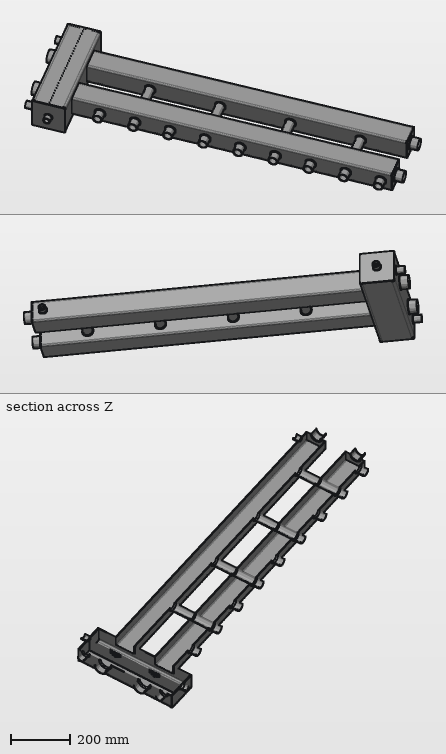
import cadquery as cq
import math

AXIS_X = cq.Vector(1, 0, 0)
AXIS_Y = cq.Vector(0, 1, 0)
overlap = 1.0

box_section = 120.0
box_length = 385.0
box_start_x = 30.0
box_edge_radius = 9.5
box_wall = 4.0
box_cap = 6.0

bar_section = 80.0
bar_end_x = 1290.0
bar_offset_y = 80.0
bar_edge_radius = 6.5
bar_wall = 4.0
bar_cap = 4.0

cap_corner_radius = 6.0
box_cap_chamfer = 2.0
bar_cap_chamfer = 1.5

divider_thickness = 2.0
perforation_diameter = 7.5
perforation_pitch = 10.0
perforated_radius = 25.0

inlet_pipe = (48.0, 42.0, 54.0)
outlet_pipe = (42.3, 36.3, 48.0)
side_pipe = (26.8, 22.0, 34.0)
branch_pipe = (33.5, 27.5, 40.0)
vent_pipe = (25.0, 18.63, 30.0)
port_length = 30.0
vent_length = 20.0
bead_height = 2.5
side_port_offset_y = 160.0
outlet_tip_diameter = 41.0
outlet_tip_length = 3.0

branch_count = 9
branch_pitch = 125.0
first_branch_x = 250.0

box_end_x = box_start_x + box_section
box_center_x = box_start_x + box_section / 2
bar_half = bar_section / 2
branch_xs = [first_branch_x + i * branch_pitch for i in range(branch_count)]
crossing_xs = branch_xs[1::2]
plain_xs = branch_xs[0::2]


def rod(diameter, start, direction, length):
    return cq.Workplane(cq.Solid.makeCylinder(diameter / 2, length, start, direction))


def cone(start_diameter, end_diameter, start, direction, length):
    return cq.Workplane(cq.Solid.makeCone(start_diameter / 2, end_diameter / 2, length, start, direction))


def square_bar(section, start, direction, length, edge_radius):
    """Square bar with rounded long edges, growing from start along direction."""
    plane = cq.Plane(origin=start, xDir=cq.Vector(0, 0, 1), normal=direction)
    bar = cq.Workplane(plane).rect(section, section).extrude(length)
    return bar.edges(cq.selectors.ParallelDirSelector(direction)).fillet(edge_radius)


def end_cap(section, outer_point, outward, thickness, chamfer):
    """Closing plate whose outer face has a chamfered rim."""
    plate = square_bar(section, outer_point - outward * thickness, outward, thickness, cap_corner_radius)
    return plate.faces(cq.selectors.DirectionMinMaxSelector(outward)).chamfer(chamfer)


def box_shell():
    tube_length = box_length - 2 * box_cap
    start = cq.Vector(box_center_x, -tube_length / 2, 0)
    shell = square_bar(box_section, start, AXIS_Y, tube_length, box_edge_radius)
    inner_section = box_section - 2 * box_wall
    shell = shell.cut(square_bar(inner_section, start, AXIS_Y, tube_length, box_edge_radius - box_wall))
    for side in (-1, 1):
        outer_point = cq.Vector(box_center_x, side * box_length / 2, 0)
        shell = shell.union(end_cap(box_section, outer_point, AXIS_Y * side, box_cap, box_cap_chamfer))
    return shell


def add_bar(body, center_y):
    """Join a hollow bar to the box and open the box wall into it."""
    tube_length = bar_end_x - bar_cap - box_end_x
    start = cq.Vector(box_end_x, center_y, 0)
    body = body.union(square_bar(bar_section, start, AXIS_X, tube_length, bar_edge_radius))
    outer_point = cq.Vector(bar_end_x, center_y, 0)
    body = body.union(end_cap(bar_section, outer_point, AXIS_X, bar_cap, bar_cap_chamfer))
    inner_section = bar_section - 2 * bar_wall
    reach = box_wall + overlap
    inner_start = start - AXIS_X * reach
    inner_radius = bar_edge_radius - bar_wall
    return body.cut(square_bar(inner_section, inner_start, AXIS_X, tube_length + reach, inner_radius))


def add_divider(body):
    """Plate across the box, perforated on a triangular grid opposite each inlet and bar."""
    inner_section = box_section - 2 * box_wall
    plate = cq.Workplane("XY").box(
        divider_thickness,
        box_length - 2 * box_cap + overlap,
        inner_section + overlap,
    )
    column_pitch = perforation_pitch * math.sqrt(3) / 2
    reach = math.ceil(perforated_radius / column_pitch)
    centers = []
    for column in range(-reach, reach + 1):
        for row in range(-reach, reach + 1):
            y = column * column_pitch
            z = (row + (column % 2) / 2) * perforation_pitch
            if math.hypot(y, z) <= perforated_radius:
                centers.append((y, z))
    for side in (-1, 1):
        face = cq.Workplane("YZ").center(side * bar_offset_y, 0).pushPoints(centers)
        plate = plate.cut(face.circle(perforation_diameter / 2).extrude(divider_thickness, both=True))
    return body.union(plate.translate((box_center_x, 0, 0)))


def add_port(body, pipe, wall_point, outward, length, depth):
    """Open pipe standing on a wall, reaching depth inwards from the wall's outer face."""
    outer, bore, bead_diameter = pipe
    inner_end = wall_point - outward * depth
    body = body.union(rod(outer, inner_end, outward, length + depth))
    body = body.union(cone(bead_diameter, outer, wall_point, outward, bead_height))
    return body.cut(rod(bore, inner_end - outward * overlap, outward, length + depth + 2 * overlap))


def taper_outlet_tip(body, center_y):
    outer = outlet_pipe[0]
    start = cq.Vector(bar_end_x + port_length - outlet_tip_length, center_y, 0)
    ring = rod(outer + overlap, start, AXIS_X, outlet_tip_length)
    return body.cut(ring.cut(cone(outer, outlet_tip_diameter, start, AXIS_X, outlet_tip_length)))


def add_crossing_pipe(body, x):
    """Branch outlet running from the rear bar right through the front bar."""
    outer, _, bead_diameter = branch_pipe
    front_face = cq.Vector(x, -bar_offset_y - bar_half, 0)
    for side in (-1, 1):
        wall_point = cq.Vector(x, side * (bar_offset_y - bar_half), 0)
        body = body.union(cone(bead_diameter, outer, wall_point, AXIS_Y * -side, bead_height))
    depth = 2 * bar_offset_y + bar_wall
    return add_port(body, branch_pipe, front_face, -AXIS_Y, port_length, depth)


part = box_shell()
for side in (-1, 1):
    bar_y = side * bar_offset_y
    part = add_bar(part, bar_y)
    inlet_point = cq.Vector(box_start_x, bar_y, 0)
    part = add_port(part, inlet_pipe, inlet_point, -AXIS_X, port_length, box_wall)
    outlet_point = cq.Vector(bar_end_x, bar_y, 0)
    part = add_port(part, outlet_pipe, outlet_point, AXIS_X, port_length, bar_cap)
    part = taper_outlet_tip(part, bar_y)
    side_point = cq.Vector(box_start_x, side * side_port_offset_y, 0)
    part = add_port(part, side_pipe, side_point, -AXIS_X, port_length, box_wall)
    vent_point = cq.Vector(box_center_x, side * box_length / 2, 0)
    part = add_port(part, vent_pipe, vent_point, AXIS_Y * side, vent_length, box_cap)

rear_vent_point = cq.Vector(branch_xs[-1], bar_offset_y + bar_half, 0)
part = add_port(part, vent_pipe, rear_vent_point, AXIS_Y, vent_length, bar_wall)

for x in plain_xs:
    front_point = cq.Vector(x, -bar_offset_y - bar_half, 0)
    part = add_port(part, branch_pipe, front_point, -AXIS_Y, port_length, bar_wall)
for x in crossing_xs:
    part = add_crossing_pipe(part, x)

result = add_divider(part)